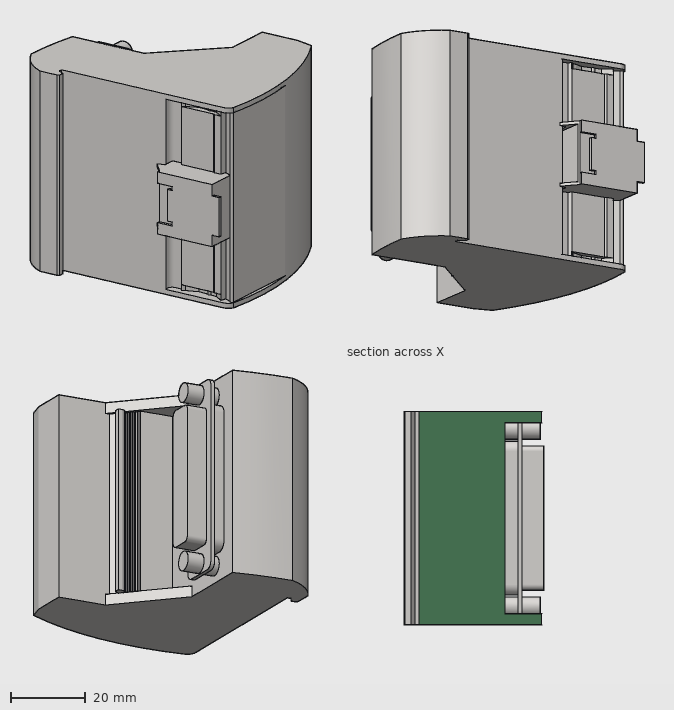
import cadquery as cq
WIDTH = 57.1
HEIGHT = 60.97
LENGTH = 69.05
BASE_Y = 6.75
SHOULDER_Y = 29.75
SHOULDER_X = 24.7
UPPER_X = 41.75
SLOPE_TOP_Y = SHOULDER_Y + UPPER_X - SHOULDER_X
TOP_END_X = 53.1

FRONT_TOP_X = 1.64
FRONT_MID = (0.35, 20.5)
FRONT_LOW = (0, 12.4)
HOOK_BULGE = (3.9, 6.6)
HOOK_START_X = 9.4

HOOK_Y = 2.73
HOOK_TIP_X = 15.5
HOOK_TIP_TOP_Y = 4.6
HOOK_TIP_CHAMFER = (0.6, 0.25)
HOOK_ROOT_X = 13.6
HOOK_ROOT_Y = 5.7

BACK_TOP = (58.5, 59.7)
BACK_MID = (66.2, 40.8)
BACK_LOW = (68.1, 8.3)
BASE_END_X = 65.9
BASE_CORNER_MID = (67.25, 7.25)
BACK_INSET_X = 67.8

CHEEK = 3.05
WALL_X = 35.6
WALL_TOP_Y = 39.45
PANEL_END_Y = 45.6
STEP_RISE = 0.5
STEP_COUNT = 7
BEAD_FRONT_X = 36.75
BEAD_TOP_Y = 45.6
BEAD_FLAT = 1.1
BEAD_END = (38.2, 43.0)
BEAD_BULGE = (37.2, 43.5)
BEAD_TOP_END_X = 38.4
BEAD_BACK = (39.6, 43.9)

CONN_X = 11.9
CONN_TOP_Y = 40.14
FLANGE_Y = 33.2
FLANGE_THICKNESS = 1.15
FLANGE_SIZE = (13.0, 53.6)
FLANGE_CORNER = 2.0
BASE_SIZE = (10.8, 41.2)
BASE_CORNER = 2.7
SHELL_SIZE = (8.05, 38.6)
SHELL_CORNER = 1.45
SCREW_DIAMETER = 5.4
SCREW_Z = 23.75
SCREW_TOP_Y = 39.2
CONN_EMBED = 0.5

WINDOW_X = 47.4
WINDOW_HALF_Z = 27.1
TROUGH_MID = (47.95, 2.5)
CHANNEL_X = (48.9, 50.8)
CHANNEL_DEPTH = 2.6
FLOOR_X = (51.3, 61.65)
FLOOR_DEPTH = 1.5
RIB_X = (62.15, 64.2)
RIB_DEPTH = 1.2
GROOVE = (64.6, 3.0)
BACK_BEAD = ((66.65, 1.9), (67.3, 1.5), (BACK_INSET_X, 2.4))
FLOOR_HALF_Z = 25.4

GAP_LEFT = (
    (51.3, 1.6),
    (51.65, 1.8),
    (52.05, 2.2),
    (52.8, 2.5),
    (53.3, 2.6),
    (54.7, 3.2),
    (55.6, 3.5),
    (56.3, 3.5),
    (58.6, 3.3),
)
GAP_BEAD = ((59.1, 2.9), (59.6, 3.2))
GAP_RIGHT = ((61.65, 3.0), (RIB_X[0], 2.6), (RIB_X[1], RIB_DEPTH))

CLIP_HALF_Z = 8.85
CLIP_END_X = 66.75
CLIP_TOP_Y = BASE_Y + 3.2
CLIP_FRONT_X = 49.2
CLIP_WALL_X = 48.9
CLIP_NECK_X = 47.7
CLIP_NOSE = (45.6, 5.1)
CLIP_SHOULDER_Y = 5.7
CLIP_SKIN = 0.87
WING_THICKNESS = 0.85
TAB_HALF_Z = 5.6
NOTCH_X = 52.3
NOTCH_TAIL_X = 53.8
NOTCH_TAIL_WIDTH = 1.1


def slab(sketch, half_z):
    """Extrude an XY outline symmetrically about Z = 0."""
    return sketch.close().extrude(half_z, both=True)


def block(x0, x1, y0, y1, z0, z1):
    """Box given by its limits."""
    return cq.Workplane("XY").box(x1 - x0, y1 - y0, z1 - z0, centered=False).translate((x0, y0, z0))


def rounded_block(size, corner, y0, y1):
    """Connector layer: a rounded rectangle raised from y0 to y1."""
    layer = cq.Workplane("XY").box(size[0], y1 - y0, size[1]).edges("|Y").fillet(corner)
    return layer.translate((CONN_X, (y0 + y1) / 2, 0))


def housing():
    """Solid side profile over the full width."""
    outline = (
        cq.Workplane("XY")
        .moveTo(FRONT_TOP_X, SHOULDER_Y)
        .lineTo(SHOULDER_X, SHOULDER_Y)
        .lineTo(UPPER_X, SLOPE_TOP_Y)
        .lineTo(UPPER_X, HEIGHT)
        .lineTo(TOP_END_X, HEIGHT)
        .lineTo(*BACK_TOP)
        .threePointArc(BACK_MID, BACK_LOW)
        .threePointArc(BASE_CORNER_MID, (BASE_END_X, BASE_Y))
        .lineTo(HOOK_ROOT_X, BASE_Y)
        .lineTo(HOOK_ROOT_X, HOOK_ROOT_Y)
        .lineTo(HOOK_TIP_X, HOOK_TIP_TOP_Y)
        .lineTo(HOOK_TIP_X, HOOK_Y + HOOK_TIP_CHAMFER[1])
        .lineTo(HOOK_TIP_X - HOOK_TIP_CHAMFER[0], HOOK_Y)
        .lineTo(HOOK_START_X, HOOK_Y)
        .threePointArc(HOOK_BULGE, FRONT_LOW)
        .threePointArc(FRONT_MID, (FRONT_TOP_X, SHOULDER_Y))
    )
    return slab(outline, WIDTH / 2)


def back_inset():
    """Flattens the back between the two side plates, which stand proud of it."""
    return block(BACK_INSET_X, LENGTH, 0, HEIGHT, -WINDOW_HALF_Z, WINDOW_HALF_Z)


def slope_recess():
    """Pocket between the cheeks: plain wall, stair-shaped panel, then a 45 degree panel."""
    x, y = WALL_X, WALL_TOP_Y
    outline = (
        cq.Workplane("XY")
        .moveTo(SHOULDER_X, SHOULDER_Y)
        .lineTo(x, SHOULDER_Y)
        .lineTo(x, y)
    )
    for _ in range(STEP_COUNT):
        x += STEP_RISE
        outline = outline.lineTo(x, y)
        y += STEP_RISE
        outline = outline.lineTo(x, y)
    outline = (
        outline
        .lineTo(UPPER_X, PANEL_END_Y)
        .lineTo(UPPER_X, SLOPE_TOP_Y)
    )
    return slab(outline, WIDTH / 2 - CHEEK)


def slope_bead():
    """Bar with a rounded underside running along the panel."""
    outline = (
        cq.Workplane("XY")
        .moveTo(BEAD_FRONT_X, BEAD_TOP_Y)
        .lineTo(BEAD_FRONT_X, BEAD_TOP_Y - BEAD_FLAT)
        .threePointArc(BEAD_BULGE, BEAD_END)
        .lineTo(*BEAD_BACK)
        .lineTo(BEAD_TOP_END_X, BEAD_TOP_Y)
    )
    return slab(outline, WIDTH / 2 - CHEEK)


def connector():
    """Stacked body, flange and shell, with a round screw post at each end."""
    deck_y = SHOULDER_Y - CONN_EMBED
    flange_top = FLANGE_Y + FLANGE_THICKNESS
    body = rounded_block(BASE_SIZE, BASE_CORNER, deck_y, FLANGE_Y)
    body = body.union(rounded_block(FLANGE_SIZE, FLANGE_CORNER, FLANGE_Y, flange_top))
    body = body.union(rounded_block(SHELL_SIZE, SHELL_CORNER, flange_top, CONN_TOP_Y))
    for z in (-SCREW_Z, SCREW_Z):
        screw = (
            cq.Workplane("XZ", origin=(CONN_X, deck_y, z))
            .circle(SCREW_DIAMETER / 2)
            .extrude(-(SCREW_TOP_Y - deck_y))
        )
        body = body.union(screw)
    return body


def above_base(point):
    """Turn an (x, depth) pair into a point measured from the rail-side face."""
    return (point[0], BASE_Y + point[1])


def clip_window():
    """Profiled recess between the side plates: trough, channel, raised floor, rib and groove."""
    outline = (
        cq.Workplane("XY")
        .moveTo(WINDOW_X, BASE_Y)
        .threePointArc(above_base(TROUGH_MID), above_base((CHANNEL_X[0], CHANNEL_DEPTH)))
        .lineTo(*above_base((CHANNEL_X[1], CHANNEL_DEPTH)))
        .lineTo(*above_base((FLOOR_X[0], FLOOR_DEPTH)))
        .lineTo(*above_base((FLOOR_X[1], FLOOR_DEPTH)))
        .lineTo(*above_base((RIB_X[0], RIB_DEPTH)))
        .lineTo(*above_base((RIB_X[1], RIB_DEPTH)))
        .lineTo(*above_base(GROOVE))
        .lineTo(*above_base(BACK_BEAD[0]))
        .threePointArc(above_base(BACK_BEAD[1]), above_base(BACK_BEAD[2]))
        .lineTo(*above_base((LENGTH, BACK_BEAD[2][1])))
        .lineTo(LENGTH, BASE_Y)
    )
    return slab(outline, WINDOW_HALF_Z)


def window_gaps():
    """Ribbed gaps between the window floor and the two side plates."""
    outline = cq.Workplane("XY").moveTo(GAP_LEFT[0][0], BASE_Y)
    for point in GAP_LEFT:
        outline = outline.lineTo(*above_base(point))
    outline = outline.threePointArc(above_base(GAP_BEAD[0]), above_base(GAP_BEAD[1]))
    for point in GAP_RIGHT:
        outline = outline.lineTo(*above_base(point))
    outline = outline.lineTo(GAP_RIGHT[-1][0], BASE_Y)
    gap = outline.close().extrude(WINDOW_HALF_Z - FLOOR_HALF_Z).translate((0, 0, FLOOR_HALF_Z))
    return gap.union(gap.mirror("XY"))


def clip():
    """Sliding rail clip with two nosed wings, a slotted skin and a release tab."""
    outline = (
        cq.Workplane("XY")
        .moveTo(CLIP_FRONT_X, 0)
        .lineTo(CLIP_END_X, 0)
        .lineTo(CLIP_END_X, CLIP_TOP_Y)
        .lineTo(CLIP_NECK_X, CLIP_TOP_Y)
        .lineTo(CLIP_NECK_X, CLIP_SHOULDER_Y)
        .lineTo(*CLIP_NOSE)
        .lineTo(CLIP_FRONT_X, CLIP_SKIN)
    )
    body = slab(outline, CLIP_HALF_Z)
    wing_z = CLIP_HALF_Z - WING_THICKNESS
    body = body.cut(block(CLIP_NOSE[0], CLIP_WALL_X, CLIP_SKIN, CLIP_TOP_Y, -wing_z, wing_z))
    body = body.cut(block(CLIP_NOSE[0], NOTCH_X, 0, CLIP_SKIN, -TAB_HALF_Z, TAB_HALF_Z))
    for z in (-TAB_HALF_Z, TAB_HALF_Z - NOTCH_TAIL_WIDTH):
        body = body.cut(block(NOTCH_X, NOTCH_TAIL_X, 0, CLIP_SKIN, z, z + NOTCH_TAIL_WIDTH))
    return body.union(block(CLIP_END_X, LENGTH, 0, CLIP_SKIN, -TAB_HALF_Z, TAB_HALF_Z))


result = (
    housing()
    .cut(back_inset())
    .cut(slope_recess())
    .union(slope_bead())
    .union(connector())
    .cut(clip_window())
    .cut(window_gaps())
    .union(clip())
)